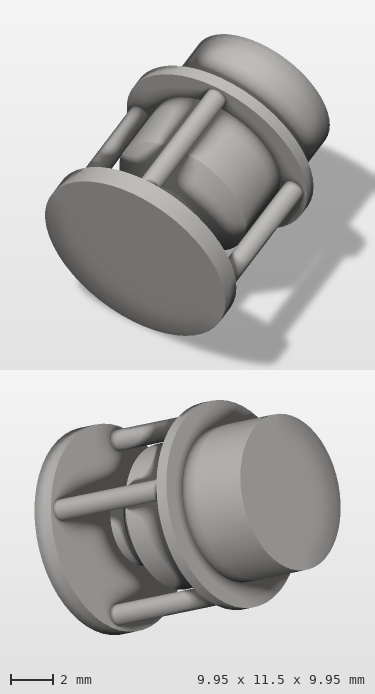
import cadquery as cq

plate_diameter = 9.95
barrel_diameter = 7.5
body_diameter = 7.0
nozzle_diameter = 4.0
rod_diameter = 1.0

plate_back = 1.0
nozzle_tip = 2.2
cone_small_end = 3.0
cone_large_end = 4.31
flange_front = 7.43
flange_back = 8.02
barrel_end = 11.53

rod_count = 4
rod_circle_radius = 4.25


def cylinder(diameter, start, end):
    """Solid cylinder about the Y axis, spanning start to end."""
    return (
        cq.Workplane("XZ", origin=(0, start, 0))
        .circle(diameter / 2)
        .extrude(start - end)
    )


def stepped_body():
    """Nozzle, cone, body, flange and barrel revolved about the Y axis."""
    nozzle_radius = nozzle_diameter / 2
    body_radius = body_diameter / 2
    flange_radius = plate_diameter / 2
    barrel_radius = barrel_diameter / 2
    profile = [
        (0, nozzle_tip),
        (nozzle_radius, nozzle_tip),
        (nozzle_radius, cone_small_end),
        (body_radius, cone_large_end),
        (body_radius, flange_front),
        (flange_radius, flange_front),
        (flange_radius, flange_back),
        (barrel_radius, flange_back),
        (barrel_radius, barrel_end),
        (0, barrel_end),
    ]
    return cq.Workplane("XY").polyline(profile).close().revolve(360, (0, 0), (0, 1))


def support_rods():
    """Evenly spaced rods joining the end plate to the flange."""
    return (
        cq.Workplane("XZ", origin=(0, plate_back, 0))
        .polarArray(rod_circle_radius, 0, 360, rod_count)
        .circle(rod_diameter / 2)
        .extrude(plate_back - flange_front)
    )


end_plate = cylinder(plate_diameter, 0, plate_back)
result = end_plate.union(support_rods()).union(stepped_body())